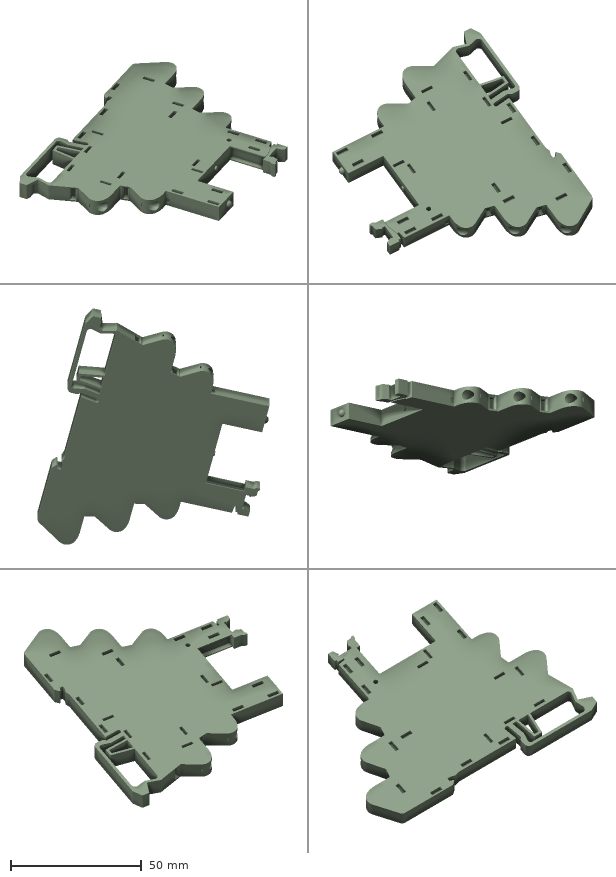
import cadquery as cq
import math


TOTAL_X = 81.86
TOTAL_Y = 98.41
THICKNESS = 6.5
MID_Z = THICKNESS / 2

MIRROR_Y = 45.77
LOBE_PITCH_X = 17.15
LOBE_PITCH_Y = 9.85
FIRST_FLANK_X = 19.5
TIP_RADIUS = 4.0
FLANK_RADIUS = 10.0
TIP_TO_FLANK = 4.5
SLOPE_ANGLE = 33.0
VALLEY_RUN = 3.85
VALLEY_BELOW_TIP = 4.65
FLANK_END_BELOW_TIP = 3.75
LOBES_ABOVE = (0, 1, 2)
LOBES_BELOW = (1, 2)

SCREW_RADIUS = 1.95
SCREW_LENGTH = 6.4
SCREW_SKIN = 0.22
ENTRY_MOUTH_WIDTH = 2.75
ENTRY_MOUTH_BOTTOM = 0.65
ENTRY_MOUTH_TOP = 6.2
ENTRY_THROAT_WIDTH = 1.7
ENTRY_THROAT_BOTTOM = 0.9
ENTRY_THROAT_TOP = 5.3
ENTRY_FUNNEL_DEPTH = 0.5
ENTRY_DEPTH = 2.2
VALLEY_ENTRY_SHIFT = 0.25
FOOT_ENTRY_CENTRE_X = 21.5

ARM_OUTER_Y = 2 * MIRROR_Y - 21.7
UPPER_ARM_INNER_Y = 59.75
LOWER_ARM_INNER_Y = 33.3
ARM_ROOT_X = 61.15
LOWER_ARM_END_X = 76.75
GROOVE_DEPTH = 1.9
GROOVE_WALL = 0.5
ARM_HOLE_CENTRE = (58.95, 63.15)
ARM_HOLE_DIAMETER = 1.95
ARM_HOLE_DEPTH = 3.0
ARM_RECESS_LENGTH = 1.6
ARM_RECESS_DEPTH = 0.5
ARM_RECESS_BOTTOM = 1.3
ARM_RECESS_HEIGHT = 2.1

CLIP_X = 76.4
JOINT_TOP = (75.1, 66.6)
JOINT_BOTTOM = (CLIP_X, 62.3)

UPPER_LEFT_X = 2.45
UPPER_LEFT_Y = 91.0
UPPER_LEFT_RADIUS = 2.0
LEFT_X = 6.1
BRACKET_CORNER = 2.0
BRACKET_TOP_Y = 34.15
WINDOW_LEFT_X = 1.27
WINDOW_RIGHT_X = 12.55
FOOT_BEND = (12.5, 3.85)
HOOK_CORNER = (7.15, 5.35)
HOOK_TIP_END = (5.1, 0)
HOOK_NOTCH_X = 5.7
HOOK_NOTCH_RISE = 0.6
HOOK_NOTCH_HEIGHT = 5.3

SLOT_LENGTH = 4.75
SLOT_WIDTH = 1.6
NARROW_SLOT_WIDTH = 1.35
SLOT_DEPTH = 2.0
SLOTS_ALONG_X = [(12.7, 84.6), (30.45, 75.2), (58.2, 68.15), (70.15, 68.15), (70.15, 62.7),
                 (71.1, 31.0), (57.95, 23.35), (73.5, 23.35)]
NARROW_SLOTS_ALONG_X = [(12.4, 43.65), (31.0, 15.6), (57.95, 39.35)]
SLOTS_ALONG_Y = [(3.85, 74.25), (31.9, 68.15), (7.8, 57.2), (7.8, 39.5)]
NARROW_SLOTS_ALONG_Y = [(14.4, 32.2), (14.4, 18.15), (33.65, 23.05), (55.0, 43.8)]

CLIP_INSET_Z = 0.3
LENS_RADIUS = 0.95
LENS_LENGTH = 0.65
LENS_Y = 48.15
LAMP_RADIUS = 1.55
LAMP_Y = 29.3


def flank_x(index):
    return FIRST_FLANK_X + index * LOBE_PITCH_X


def tip_y(index):
    return TOTAL_Y - index * LOBE_PITCH_Y


def mirrored(point):
    return (point[0], 2 * MIRROR_Y - point[1])


def valley_points(index):
    """End of the previous flank and bottom of the valley ahead of an upper lobe."""
    previous_flank = flank_x(index - 1)
    flank_end = (previous_flank, tip_y(index) - FLANK_END_BELOW_TIP)
    bottom = (previous_flank + VALLEY_RUN, tip_y(index) - VALLEY_BELOW_TIP)
    return flank_end, bottom


def lobe_arcs(index):
    """Five points along an upper lobe: tip arc (start, middle, joint), flank arc (middle, end)."""
    tip_centre = (flank_x(index) - TIP_TO_FLANK, tip_y(index) - TIP_RADIUS)
    reach_x = FLANK_RADIUS - TIP_TO_FLANK
    reach_y = math.sqrt((FLANK_RADIUS - TIP_RADIUS) ** 2 - reach_x ** 2)
    flank_centre = (tip_centre[0] - reach_x, tip_centre[1] - reach_y)
    joint_angle = math.atan2(reach_y, reach_x)
    start_angle = math.radians(90 + SLOPE_ANGLE)

    def on_circle(centre, radius, angle):
        return (centre[0] + radius * math.cos(angle), centre[1] + radius * math.sin(angle))

    return [
        on_circle(tip_centre, TIP_RADIUS, start_angle),
        on_circle(tip_centre, TIP_RADIUS, math.pi / 2),
        on_circle(tip_centre, TIP_RADIUS, joint_angle),
        on_circle(flank_centre, FLANK_RADIUS, joint_angle / 2),
        on_circle(flank_centre, FLANK_RADIUS, 0),
    ]


def prism(points, bottom=0.0, top=THICKNESS):
    return cq.Workplane("XY").workplane(offset=bottom).polyline(points).close().extrude(top - bottom)


def housing_blank():
    """Full-thickness plate, its outline drawn clockwise from the upper left corner."""
    outline = cq.Workplane("XY").moveTo(UPPER_LEFT_X, UPPER_LEFT_Y)
    for index in LOBES_ABOVE:
        if index > 0:
            for point in valley_points(index):
                outline = outline.lineTo(*point)
        start, tip, joint, middle, end = lobe_arcs(index)
        outline = outline.lineTo(*start).threePointArc(tip, joint).threePointArc(middle, end)

    last_flank = flank_x(LOBES_ABOVE[-1])
    for point in [(last_flank, ARM_OUTER_Y), (73.85, ARM_OUTER_Y), (74.3, JOINT_TOP[1]), JOINT_TOP,
                  JOINT_BOTTOM, (CLIP_X, UPPER_ARM_INNER_Y), (ARM_ROOT_X, UPPER_ARM_INNER_Y),
                  (ARM_ROOT_X, LOWER_ARM_INNER_Y), (LOWER_ARM_END_X, LOWER_ARM_INNER_Y),
                  mirrored((LOWER_ARM_END_X, ARM_OUTER_Y)), mirrored((last_flank, ARM_OUTER_Y))]:
        outline = outline.lineTo(*point)

    for index in reversed(LOBES_BELOW):
        start, tip, joint, middle, end = [mirrored(point) for point in lobe_arcs(index)]
        flank_end, valley = [mirrored(point) for point in valley_points(index)]
        outline = outline.lineTo(*end).threePointArc(middle, joint).threePointArc(tip, start)
        outline = outline.lineTo(*valley)
        if index > LOBES_BELOW[0]:
            outline = outline.lineTo(*flank_end)

    corner_mid = BRACKET_CORNER * (1 - math.sqrt(0.5))
    outline = (
        outline.lineTo(*FOOT_BEND).lineTo(*HOOK_CORNER)
        .lineTo(*HOOK_TIP_END).lineTo(2.05, 0).lineTo(0, 3.95)
        .lineTo(0, BRACKET_TOP_Y - BRACKET_CORNER)
        .threePointArc((corner_mid, BRACKET_TOP_Y - corner_mid), (BRACKET_CORNER, BRACKET_TOP_Y))
        .lineTo(4.4, BRACKET_TOP_Y).lineTo(5.6, 33.25)
        .lineTo(12.3, 34.2).threePointArc((12.9, 35.2), (11.9, 36.0))
        .lineTo(LEFT_X, 35.05)
    )

    for point in [(LEFT_X, 62.1), (5.5, 64.1), (LEFT_X, 65.85), (LEFT_X, 67.4), (4.75, 67.4),
                  (4.2, 65.85), (3.7, 65.85), (UPPER_LEFT_X, 67.4)]:
        outline = outline.lineTo(*point)
    blank = outline.close().extrude(THICKNESS)
    corner = cq.selectors.NearestToPointSelector((UPPER_LEFT_X, UPPER_LEFT_Y, MID_Z))
    return blank.edges(corner).fillet(UPPER_LEFT_RADIUS)


def foot_window():
    """Opening of the rail foot, leaving a hollow wedge-shaped spring across it."""
    window = (
        cq.Workplane("XY").moveTo(WINDOW_LEFT_X, 31.2)
        .threePointArc((1.65, 31.85), (2.5, 32.1)).lineTo(6.4, 31.25).lineTo(WINDOW_RIGHT_X, 32.25)
        .lineTo(WINDOW_RIGHT_X, 7.0).threePointArc((12.15, 5.9), (10.95, 5.5))
        .lineTo(6.8, 6.6).lineTo(3.05, 5.5)
        .threePointArc((1.8, 5.9), (WINDOW_LEFT_X, 6.7))
        .close().extrude(THICKNESS)
    )
    spring_outside = prism([(WINDOW_RIGHT_X, 30.3), (2.7, 29.0), (2.7, 25.35), (WINDOW_RIGHT_X, 23.85)])
    spring_inside = prism([(WINDOW_RIGHT_X, 29.4), (3.7, 28.1), (3.7, 26.15), (WINDOW_RIGHT_X, 24.8)])
    return window.cut(spring_outside).union(spring_inside)


def hook_notch():
    """Wedge-shaped notch behind the lower hook, open below."""
    run = (HOOK_NOTCH_X - HOOK_TIP_END[0]) / (HOOK_CORNER[0] - HOOK_TIP_END[0])
    hook_face = (HOOK_NOTCH_X, run * HOOK_CORNER[1])
    floor_start = (HOOK_NOTCH_X, HOOK_CORNER[1] - HOOK_NOTCH_RISE)
    return prism([hook_face, HOOK_CORNER, floor_start], top=HOOK_NOTCH_HEIGHT)


def screw_hole(index):
    """Blind bore along X from the flank through the tip of an upper lobe."""
    centre_y = tip_y(index) - SCREW_SKIN - SCREW_RADIUS
    return (
        cq.Workplane("YZ", origin=(flank_x(index) - SCREW_LENGTH, centre_y, MID_Z))
        .circle(SCREW_RADIUS).extrude(SCREW_LENGTH)
    )


def wire_entry(centre, inward_angle):
    """Funnel and blind throat, square to a slanted face; inward_angle is measured from +X."""
    mouth_height = ENTRY_MOUTH_TOP - ENTRY_MOUTH_BOTTOM
    throat_height = ENTRY_THROAT_TOP - ENTRY_THROAT_BOTTOM
    mouth_z = ENTRY_MOUTH_BOTTOM + mouth_height / 2
    throat_z = ENTRY_THROAT_BOTTOM + throat_height / 2
    funnel = (
        cq.Workplane("YZ").center(0, mouth_z).rect(ENTRY_MOUTH_WIDTH, mouth_height)
        .workplane(offset=ENTRY_FUNNEL_DEPTH).center(0, throat_z - mouth_z)
        .rect(ENTRY_THROAT_WIDTH, throat_height).loft()
    )
    throat = (
        cq.Workplane("YZ").center(0, throat_z).rect(ENTRY_THROAT_WIDTH, throat_height).extrude(ENTRY_DEPTH)
    )
    pocket = funnel.union(throat)
    return pocket.rotate((0, 0, 0), (0, 0, 1), inward_angle).translate((centre[0], centre[1], 0))


def foot_entry():
    """Wire entry in the long slanted face between the rail foot and the first lower valley."""
    valley = mirrored(valley_points(LOBES_BELOW[0])[1])
    slope = (valley[1] - FOOT_BEND[1]) / (valley[0] - FOOT_BEND[0])
    centre_y = FOOT_BEND[1] + slope * (FOOT_ENTRY_CENTRE_X - FOOT_BEND[0])
    return wire_entry((FOOT_ENTRY_CENTRE_X, centre_y), math.degrees(math.atan(slope)) + 90)


def valley_entry(index):
    """Wire entry in the short face between an upper lobe and the flank before it."""
    flank_end, valley = valley_points(index)
    slope = (valley[1] - flank_end[1]) / (valley[0] - flank_end[0])
    from_flank = (valley[0] - flank_end[0]) / 2 + VALLEY_ENTRY_SHIFT
    centre = (flank_end[0] + from_flank, flank_end[1] + slope * from_flank)
    return wire_entry(centre, math.degrees(math.atan(slope)) - 90)


def mirror_across(body):
    return body.mirror("XZ", (0, MIRROR_Y, 0))


def slots(centres, size_x, size_y):
    return (
        cq.Workplane("XY").workplane(offset=THICKNESS - SLOT_DEPTH)
        .pushPoints(centres).rect(size_x, size_y).extrude(SLOT_DEPTH)
    )


def arm_hole():
    """Blind hole in the upper face at the root of the upper arm."""
    return (
        cq.Workplane("XY").workplane(offset=THICKNESS - ARM_HOLE_DEPTH)
        .center(*ARM_HOLE_CENTRE).circle(ARM_HOLE_DIAMETER / 2).extrude(ARM_HOLE_DEPTH)
    )


def arm_groove():
    """Channel along the inner side of the upper arm, between two thin walls."""
    return cq.Workplane("XY").box(
        CLIP_X - ARM_ROOT_X, GROOVE_DEPTH, THICKNESS - 2 * GROOVE_WALL, centered=False
    ).translate((ARM_ROOT_X, UPPER_ARM_INNER_Y, GROOVE_WALL))


def arm_recess():
    """Small recess in the outer side of the upper arm, next to the last lobe."""
    return cq.Workplane("XY").box(
        ARM_RECESS_LENGTH, ARM_RECESS_DEPTH, ARM_RECESS_HEIGHT, centered=False
    ).translate((flank_x(LOBES_ABOVE[-1]), ARM_OUTER_Y - ARM_RECESS_DEPTH, ARM_RECESS_BOTTOM))


def make_housing():
    body = housing_blank().cut(foot_window()).cut(hook_notch())

    for index in LOBES_ABOVE:
        body = body.cut(screw_hole(index))
    for index in LOBES_BELOW:
        body = body.cut(mirror_across(screw_hole(index)))

    for index in LOBES_ABOVE[1:]:
        body = body.cut(valley_entry(index))
    body = body.cut(mirror_across(valley_entry(LOBES_BELOW[-1])))
    body = body.cut(foot_entry())

    body = body.cut(slots(SLOTS_ALONG_X, SLOT_LENGTH, SLOT_WIDTH))
    body = body.cut(slots(NARROW_SLOTS_ALONG_X, SLOT_LENGTH, NARROW_SLOT_WIDTH))
    body = body.cut(slots(SLOTS_ALONG_Y, SLOT_WIDTH, SLOT_LENGTH))
    body = body.cut(slots(NARROW_SLOTS_ALONG_Y, NARROW_SLOT_WIDTH, SLOT_LENGTH))

    body = body.cut(arm_hole()).cut(arm_groove())
    return body.cut(arm_recess()).cut(mirror_across(arm_recess()))


def make_clip():
    """Retaining clip with two facing hooks, seated on the slanted end of the upper arm."""
    outline = [
        JOINT_BOTTOM, JOINT_TOP, (JOINT_TOP[0], 69.3), (76.15, 69.3), (76.15, 70.1), (80.45, 70.1),
        (80.45, 68.05), (78.1, 66.9), (78.1, 67.35), (77.3, 67.35), (77.3, 61.25), (78.7, 61.25),
        (78.7, 61.75), (81.2, 60.75), (81.4, 58.5), (TOTAL_X, 58.3), (TOTAL_X, 57.35), (80.5, 57.35),
        (79.5, 58.0), (CLIP_X, 58.0),
    ]
    return prism(outline, CLIP_INSET_Z, THICKNESS - CLIP_INSET_Z)


def make_lens():
    """Short round lens on the wall between the arms."""
    return cq.Workplane("YZ", origin=(ARM_ROOT_X, LENS_Y, MID_Z)).circle(LENS_RADIUS).extrude(LENS_LENGTH)


def make_lamp():
    """Half-ball lamp on the end of the lower arm."""
    half_ball = (
        cq.Workplane("XY").moveTo(0, 0).lineTo(LAMP_RADIUS, 0)
        .threePointArc((LAMP_RADIUS * math.sqrt(0.5), LAMP_RADIUS * math.sqrt(0.5)), (0, LAMP_RADIUS))
        .close().revolve(360, (0, 0, 0), (1, 0, 0))
    )
    return half_ball.translate((LOWER_ARM_END_X, LAMP_Y, MID_Z))


housing = make_housing()
clip = make_clip()
lens = make_lens()
lamp = make_lamp()

result = cq.Compound.makeCompound([housing.val(), clip.val(), lens.val(), lamp.val()])